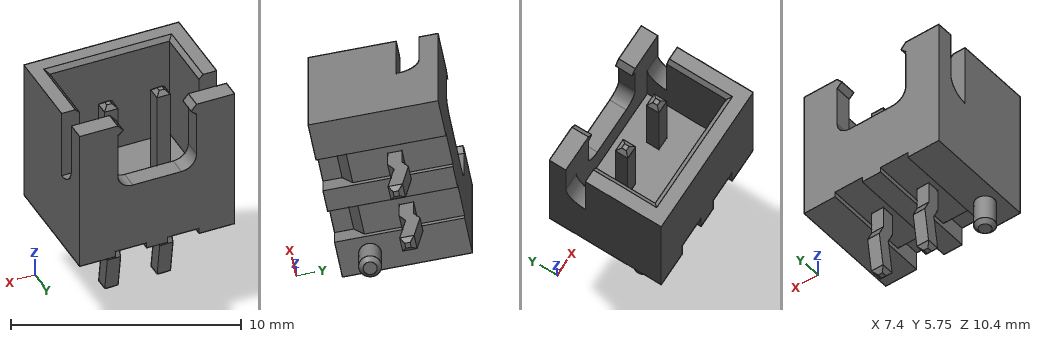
import cadquery as cq

width = 7.4
depth = 5.75
height = 7.0
wall = 0.85
rim_chamfer = 0.2
inner_back = depth - wall
inner_width = width - 2 * wall

pitch = 2.5
pin_size = 0.64
pin_y = 3.4
pin_top = 6.48
pin_taper = 0.2
pin_bottom = -3.4
pin_xs = [-pitch / 2, pitch / 2]

kink_start = -0.9
kink_end = -1.5
kink_shift = 0.28
tail_shift = 0.02

relief_width = 1.5
relief_front_height = 1.0
relief_height = 0.27
relief_slope_start = wall
relief_slope_depth = 0.47
floor_top = relief_front_height + wall

side_slot_width = 1.0
side_slot_bottom = 3.65

gap_half_width = 1.88
gap_radius = 0.72
gap_bottom = 3.6

barb_reach = 0.26
barb_tip = 6.7
barb_base = 6.45

peg_diameter = 1.0
peg_length = 1.5
peg_chamfer = 0.2
peg_x = -2.85
peg_y = 1.4


def block(x_min, x_max, y_min, y_max, z_min, z_max):
    """Axis-aligned box given by its limits."""
    box = cq.Workplane("XY").box(x_max - x_min, y_max - y_min, z_max - z_min, centered=False)
    return box.translate((x_min, y_min, z_min))


def cavity():
    """Open-topped pocket that holds the mating plug."""
    return block(-inner_width / 2, inner_width / 2, wall, inner_back, floor_top, height)


def rim_bevel():
    """Bevel along the inner rim of the front and side walls; it stops at the side slots."""
    bevel_back = inner_back - side_slot_width
    bevel_length = 2 * (bevel_back - wall)
    bevel = (
        cq.Workplane("XY")
        .workplane(offset=height)
        .center(0, bevel_back)
        .rect(inner_width + 2 * rim_chamfer, bevel_length + 2 * rim_chamfer)
        .workplane(offset=-rim_chamfer)
        .rect(inner_width, bevel_length)
        .loft(ruled=True)
    )
    front_part = block(-width / 2, width / 2, 0, bevel_back, 0, height)
    return bevel.intersect(front_part)


def side_slots():
    """Slot through both side walls, with a quarter-round bottom against the back wall."""
    slot_front = inner_back - side_slot_width
    arc_top = side_slot_bottom + side_slot_width
    return (
        cq.Workplane("YZ")
        .moveTo(slot_front, height)
        .lineTo(slot_front, side_slot_bottom)
        .radiusArc((inner_back, arc_top), -side_slot_width)
        .lineTo(inner_back, height)
        .close()
        .extrude(width / 2, both=True)
    )


def back_gap():
    """Gap through the back wall, with round lower corners and a barb on each upper edge."""
    arc_end = gap_half_width - gap_radius
    arc_top = gap_bottom + gap_radius
    barb_x = gap_half_width - barb_reach
    return (
        cq.Workplane("XZ", origin=(0, depth, 0))
        .moveTo(-arc_end, gap_bottom)
        .lineTo(arc_end, gap_bottom)
        .radiusArc((gap_half_width, arc_top), -gap_radius)
        .lineTo(gap_half_width, barb_base)
        .lineTo(barb_x, barb_tip)
        .lineTo(gap_half_width, height)
        .lineTo(-gap_half_width, height)
        .lineTo(-barb_x, barb_tip)
        .lineTo(-gap_half_width, barb_base)
        .lineTo(-gap_half_width, arc_top)
        .radiusArc((-arc_end, gap_bottom), -gap_radius)
        .close()
        .extrude(wall)
    )


def relief_slot(x):
    """Slot under the floor, tall at the front, then sloping down to a low passage to the back."""
    return (
        cq.Workplane("YZ", origin=(x, 0, 0))
        .moveTo(0, 0)
        .lineTo(0, relief_front_height)
        .lineTo(relief_slope_start, relief_front_height)
        .lineTo(relief_slope_start + relief_slope_depth, relief_height)
        .lineTo(depth, relief_height)
        .lineTo(depth, 0)
        .close()
        .extrude(relief_width / 2, both=True)
    )


def locating_peg():
    """Round peg below the housing with a chamfered end."""
    return (
        cq.Workplane("XY", origin=(peg_x, peg_y, 0))
        .circle(peg_diameter / 2)
        .extrude(-peg_length)
        .faces("<Z")
        .chamfer(peg_chamfer)
    )


def pin_hole(x):
    """Square hole through the floor that fits a pin."""
    half = pin_size / 2
    return block(x - half, x + half, pin_y - half, pin_y + half, 0, floor_top)


def make_housing():
    body = block(-width / 2, width / 2, 0, depth, 0, height)
    body = body.cut(cavity()).cut(rim_bevel()).cut(side_slots()).cut(back_gap())
    for x in pin_xs:
        body = body.cut(relief_slot(x)).cut(pin_hole(x))
    return body.union(locating_peg())


def make_pin(x):
    """Square pin with a kinked tail and both ends tapered."""
    tip_size = pin_size - 2 * pin_taper
    sections = [
        (pin_bottom, 0, tip_size),
        (pin_bottom + pin_taper, tail_shift, pin_size),
        (kink_end, kink_shift, pin_size),
        (kink_start, 0, pin_size),
        (pin_top - pin_taper, 0, pin_size),
        (pin_top, 0, tip_size),
    ]
    z, shift, size = sections[0]
    pin = cq.Workplane("XY", origin=(x, pin_y + shift, z)).rect(size, size)
    for next_z, next_shift, next_size in sections[1:]:
        pin = pin.workplane(offset=next_z - z).center(0, next_shift - shift).rect(next_size, next_size)
        z = next_z
        shift = next_shift
    return pin.loft(ruled=True)


housing = make_housing().solids()
pins = [make_pin(x) for x in pin_xs]

result = cq.Compound.makeCompound([housing.val(), *[pin.val() for pin in pins]])